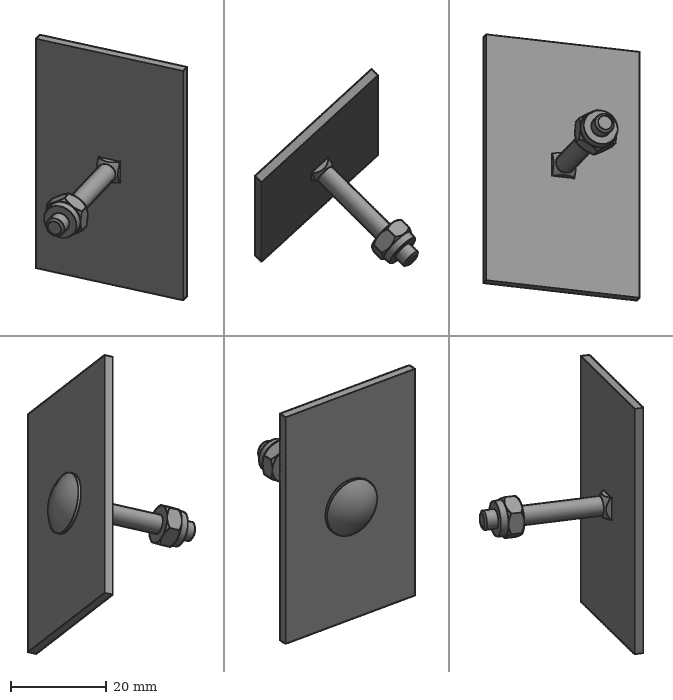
import cadquery as cq
import math

plate_width = 34.0
plate_height = 55.0
plate_thickness = 2.0

head_diameter = 13.1
head_height = 3.0
head_rim = 0.65
neck_width = 4.95
neck_length = 3.6
shank_diameter = 4.2
overall_depth = 33.0
shank_length = overall_depth - head_height
tip_chamfer_length = 0.4
tip_chamfer_depth = 0.55

nut_across_flats = 8.05
nut_across_corners = nut_across_flats / math.cos(math.pi / 6)
nut_hex_height = 3.5
nut_collar_height = 1.6
nut_height = nut_hex_height + nut_collar_height
collar_base_radius = 3.9
collar_end_radius = 3.75
shank_protrusion = 2.9
nut_start = shank_length - shank_protrusion - nut_height


def toward_tip(distance):
    """XZ workplane at a distance from the plate's head side toward the bolt tip."""
    return cq.Workplane("XZ", origin=(0, -distance, 0))


def revolve_about_bolt_axis(profile):
    """Revolve a closed XY profile a full turn about the Y axis."""
    return profile.close().revolve(360, (0, 0, 0), (0, 1, 0))


def make_plate():
    plate = toward_tip(0).rect(plate_width, plate_height).extrude(plate_thickness)
    square_hole = toward_tip(0).rect(neck_width, neck_width).extrude(plate_thickness)
    return plate.cut(square_hole)


def make_head():
    radius = head_diameter / 2
    dome_height = head_height - head_rim
    sphere_radius = (radius**2 + dome_height**2) / (2 * dome_height)
    mid_x = radius / 2
    mid_y = head_height - sphere_radius + math.sqrt(sphere_radius**2 - mid_x**2)
    profile = (
        cq.Workplane("XY")
        .lineTo(radius, 0)
        .lineTo(radius, head_rim)
        .threePointArc((mid_x, mid_y), (0, head_height))
    )
    return revolve_about_bolt_axis(profile)


def make_neck():
    """Square neck whose free end is trimmed by a 45 degree cone down to the shank."""
    square = toward_tip(0).rect(neck_width, neck_width).extrude(neck_length)
    shank_radius = shank_diameter / 2
    cone = revolve_about_bolt_axis(
        cq.Workplane("XY")
        .lineTo(shank_radius + neck_length, 0)
        .lineTo(shank_radius, -neck_length)
        .lineTo(0, -neck_length)
    )
    return square.intersect(cone)


def make_shank():
    radius = shank_diameter / 2
    return revolve_about_bolt_axis(
        cq.Workplane("XY")
        .lineTo(radius, 0)
        .lineTo(radius, tip_chamfer_length - shank_length)
        .lineTo(radius - tip_chamfer_depth, -shank_length)
        .lineTo(0, -shank_length)
    )


def make_bolt():
    return make_head().union(make_neck()).union(make_shank())


def make_nut():
    hex_end = nut_start + nut_hex_height
    nut_end = nut_start + nut_height
    corner_radius = nut_across_corners / 2
    flat_radius = nut_across_flats / 2
    corner_chamfer = corner_radius - flat_radius

    hexagon = (
        toward_tip(nut_start)
        .transformed(rotate=(0, 0, 90))
        .polygon(6, nut_across_corners)
        .extrude(nut_hex_height)
    )
    envelope = revolve_about_bolt_axis(
        cq.Workplane("XY")
        .moveTo(0, -nut_start)
        .lineTo(flat_radius, -nut_start)
        .lineTo(corner_radius, -nut_start - corner_chamfer)
        .lineTo(corner_radius, -hex_end + corner_chamfer)
        .lineTo(flat_radius, -hex_end)
        .lineTo(0, -hex_end)
    )
    collar = revolve_about_bolt_axis(
        cq.Workplane("XY")
        .moveTo(0, -hex_end)
        .lineTo(collar_base_radius, -hex_end)
        .lineTo(collar_end_radius, -nut_end)
        .lineTo(0, -nut_end)
    )
    bore = toward_tip(nut_start).circle(shank_diameter / 2).extrude(nut_height)
    return hexagon.intersect(envelope).union(collar).cut(bore)


plate = make_plate().solids()
bolt = make_bolt().solids()
nut = make_nut().solids()

result = cq.Compound.makeCompound([plate.val(), bolt.val(), nut.val()])